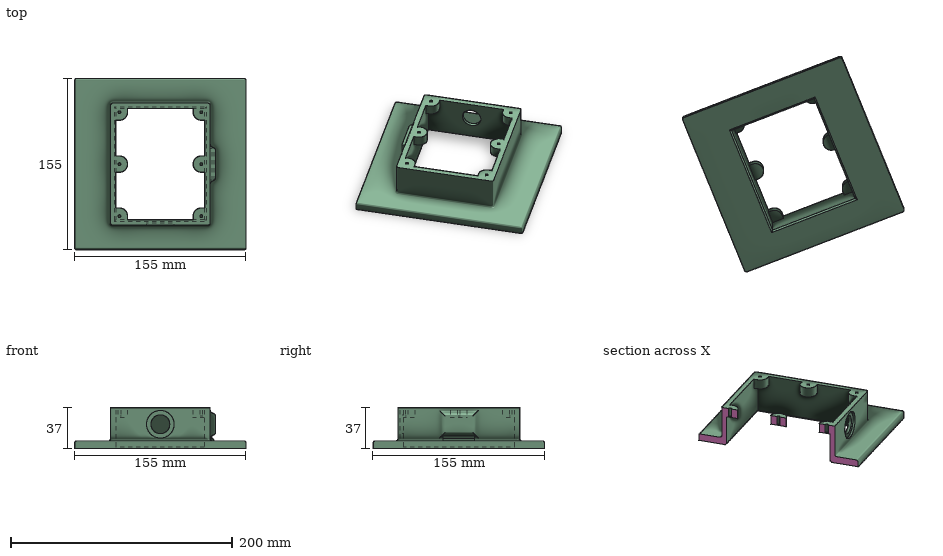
import cadquery as cq

plate_side = 155.0
plate_thickness = 7.0
edge_radius = 2.0

total_height = 37.0
box_x = 90.0
box_y = 110.0
wall = 5.0
opening_x = box_x - 2 * wall
opening_y = box_y - 2 * wall
box_mid_z = (plate_thickness + total_height) / 2

boss_radius = 7.5
boss_height = 9.0
boss_inset = 3.1
boss_x = opening_x / 2 - boss_inset
boss_y = opening_y / 2 - boss_inset
boss_reach = boss_inset + wall / 2
screw_diameter = 2.5
screw_depth = 7.8

entry_diameter = 17.0
entry_recess_diameter = 25.0
entry_recess_depth = 2.0

pad_y = 31.6
pad_z = 21.4
pad_height = 5.0
pad_taper = 15.0
pad_radius = 3.1

web_thickness = 1.5
web_foot_radius = 2.0
web_length = pad_y - pad_radius
web_top_z = box_mid_z - pad_z / 2 + web_thickness

opening_chamfer = 1.5
opening_chamfer_angle = 45.0

selection_margin = 0.2


def edges_within(body, x_range, y_range, z_range):
    """Edges of the body whose centres lie inside the given ranges, slightly enlarged."""
    low = tuple(r[0] - selection_margin for r in (x_range, y_range, z_range))
    high = tuple(r[1] + selection_margin for r in (x_range, y_range, z_range))
    return body.edges(cq.selectors.BoxSelector(low, high))


def make_plate():
    plate = cq.Workplane("XY").rect(plate_side, plate_side).extrude(plate_thickness)
    return plate.edges("|Z or >Z").fillet(edge_radius)


def make_box():
    box = cq.Workplane("XY").rect(box_x, box_y).extrude(total_height)
    return box.edges("|Z").fillet(edge_radius)


def add_pad(box):
    pad = (
        cq.Workplane("YZ", origin=(box_x / 2, 0, box_mid_z))
        .rect(pad_y, pad_z)
        .extrude(pad_height, taper=pad_taper)
    )
    body = box.union(pad)
    pad_root = edges_within(
        body,
        (box_x / 2, box_x / 2),
        (-pad_y / 2, pad_y / 2),
        (box_mid_z - pad_z / 2, box_mid_z + pad_z / 2),
    )
    return pad_root.fillet(pad_radius).faces(">X").edges().fillet(pad_radius)


def blend_box_into_plate(body):
    root = edges_within(
        body,
        (-box_x / 2, box_x / 2),
        (-box_y / 2, box_y / 2),
        (plate_thickness, plate_thickness),
    )
    return root.fillet(edge_radius)


def make_web():
    """Wall below the pad, with a concave foot running out onto the plate."""
    inner_x = opening_x / 2
    face_x = box_x / 2 + web_thickness
    return (
        cq.Workplane("XZ", origin=(0, web_length / 2, 0))
        .moveTo(inner_x, plate_thickness)
        .lineTo(face_x + web_foot_radius, plate_thickness)
        .radiusArc((face_x, plate_thickness + web_foot_radius), -web_foot_radius)
        .lineTo(face_x, web_top_z)
        .lineTo(inner_x, web_top_z)
        .close()
        .extrude(web_length)
    )


def make_boss(x_side, y_side):
    """Boss with straight flanks into the nearest walls; y_side 0 gives a mid-wall boss."""
    start = cq.Workplane("XY", origin=(x_side * boss_x, y_side * boss_y, total_height - boss_height))
    boss = start.circle(boss_radius).extrude(boss_height)
    x_flank = start.center(x_side * boss_reach / 2, 0).rect(boss_reach, 2 * boss_radius)
    boss = boss.union(x_flank.extrude(boss_height))
    if y_side:
        y_flank = start.center(0, y_side * boss_reach / 2).rect(2 * boss_radius, boss_reach)
        boss = boss.union(y_flank.extrude(boss_height))
    box_outline = cq.Workplane("XY").rect(box_x - wall, box_y - wall).extrude(total_height)
    return boss.intersect(box_outline)


def make_opening():
    opening = cq.Workplane("XY").rect(opening_x, opening_y).extrude(total_height)
    lead_in = (
        cq.Workplane("XY")
        .rect(opening_x + 2 * opening_chamfer, opening_y + 2 * opening_chamfer)
        .extrude(opening_chamfer, taper=opening_chamfer_angle)
    )
    return opening.union(lead_in)


def make_cable_entry():
    outer_face = cq.Workplane("XZ", origin=(0, -box_y / 2, box_mid_z))
    hole = outer_face.circle(entry_diameter / 2).extrude(-2 * wall)
    recess = outer_face.circle(entry_recess_diameter / 2).extrude(-entry_recess_depth)
    return hole.union(recess)


box = make_box()
body = blend_box_into_plate(make_plate().union(box))
body = body.union(add_pad(box)).union(make_web())
body = body.cut(make_opening()).cut(make_cable_entry())

boss_sides = [(x_side, y_side) for x_side in (-1, 1) for y_side in (-1, 0, 1)]
for x_side, y_side in boss_sides:
    body = body.union(make_boss(x_side, y_side))

screw_axes = [(x_side * boss_x, y_side * boss_y) for x_side, y_side in boss_sides]
screw_holes = (
    cq.Workplane("XY", origin=(0, 0, total_height))
    .pushPoints(screw_axes)
    .circle(screw_diameter / 2)
    .extrude(-screw_depth)
)
result = body.cut(screw_holes)